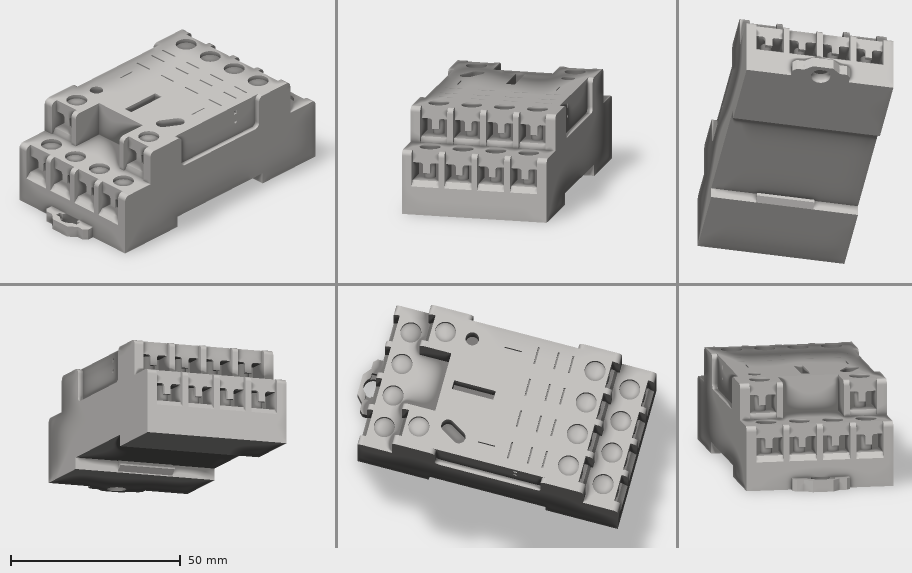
import cadquery as cq
import math

WIDTH = 44.0
LENGTH = 79.5
HEIGHT = 30.0
TIER_RISE = 10.75
TIER_DEPTH = 10.6
TIER_TOP = HEIGHT - TIER_RISE
EDGE_RADIUS = 1.5
HALF_WIDTH = WIDTH / 2

PITCH = 10.0
COLUMNS = [(i - 1.5) * PITCH for i in range(4)]
OUTER_COLUMNS = [COLUMNS[0], COLUMNS[-1]]
ENTRY_WIDTH = 8.2
ENTRY_OVERRUN = 0.85
LEDGE_DROP = 9.1
CAVITY_DROP = 3.8
SCREW_SETBACK = 6.35
CAVITY_DEPTH = 8.9
SCREW_DIAMETER = 3.4
SCREW_HOLE_DIAMETER = 6.2
SCREW_HOLE_DEPTH = 1.3
TONGUE_DROP = 6.9
TONGUE_HALF_WIDTH = 1.0
TONGUE_THICKNESS = 1.0
TONGUE_ROOT_RADIUS = 0.85
LOWER_ENTRY = (1.9, 1.6, 0.0)
UPPER_ENTRY = (2.2, 1.4, 0.6)

NOTCH_HALF_WIDTH = (PITCH + ENTRY_WIDTH) / 2
NOTCH_DEPTH = 20.3
PIN_SLOT_LENGTH = 5.25
PIN_SLOT_WIDTH = 0.5
PIN_SLOT_DEPTH = 1.0
PIN_SLOT_ROWS = [44.75, 50.85, 55.3]
COIL_SLOT_WIDTH = 0.3
COIL_SLOT_Y = 37.6
KEY_SLOT_WIDTH = 2.7
KEY_SLOT_LENGTH = 12.7
KEY_SLOT_Y = 29.6
KEY_DEPTH = 5.1
KEY_HOLE_DIAMETER = 4.0
KEY_HOLE_Y = 25.1
OBLONG_RUN = 2.4
OBLONG_RISE = 4.0

RECESS_DEPTH = 1.6
RECESS_FRONT = 23.6
RECESS_BACK = 55.9
RECESS_FLOOR = 19.8
RECESS_RADIUS = 1.5
MARK_Y = 47.7
MARK_SIZE = 1.1
MARK_DEPTH = 1.0
SQUARE_MARK_Z = 27.7
ROUND_MARK_Z = 24.5

RAIL_DEPTH = 3.5
RAIL_FRONT = 21.8
RAIL_BACK = 57.45
CLIP_HALF_WIDTH = 8.6
CLIP_REACH = 5.1
CLIP_SHOULDER = 3.1
CLIP_CHAMFER = 1.1
CLIP_SHOULDER_HALF_WIDTH = 5.3
CLIP_TIP_HALF_WIDTH = 3.05
CLIP_STOP = 0.5
HOOK_REACH = 1.95
CLIP_HOOK_TOP = 2.4
CLIP_HOOK_TIP = 1.9
CLIP_HOOK_ROOT = 0.3
FIXED_HOOK_TOP = 2.1
FIXED_HOOK_TIP = 1.1
CLIP_HOLE_RADIUS = 2.9
CLIP_HOLE_Y = -1.1
POCKET_HALF_LENGTH = 4.15
POCKET_WIDTH = 1.6
POCKET_Y = -1.8
POCKET_DEPTH = 1.7


def block(x0, x1, y0, y1, z0, z1):
    """Axis-aligned box between two opposite corners."""
    return cq.Workplane("XY").box(x1 - x0, y1 - y0, z1 - z0, centered=False).translate((x0, y0, z0))


def side_profile(points, half_width):
    """Closed (Y, Z) outline extruded symmetrically about X = 0."""
    return cq.Workplane("YZ").polyline(points).close().extrude(half_width, both=True)


def housing_shell():
    """Two-tier block with rounded front and back tier edges."""
    lower = block(-HALF_WIDTH, HALF_WIDTH, 0, LENGTH, 0, TIER_TOP)
    upper = block(-HALF_WIDTH, HALF_WIDTH, TIER_DEPTH, LENGTH - TIER_DEPTH, 0, HEIGHT)
    lower = lower.faces(">Z").edges("|X").fillet(EDGE_RADIUS)
    upper = upper.faces(">Z").edges("|X").fillet(EDGE_RADIUS)
    return lower.union(upper)


def terminal_cutter(top, entry):
    """Void of one terminal whose tier face is Y = 0 and whose column is X = 0."""
    entry_back, crest, foot = entry
    ledge = top - LEDGE_DROP
    roof = top - CAVITY_DROP
    tip = top - TONGUE_DROP
    half = ENTRY_WIDTH / 2

    entry_slot = side_profile(
        [
            (-ENTRY_OVERRUN, top),
            (entry_back, top),
            (entry_back, ledge),
            (crest, ledge),
            (foot, top - TIER_RISE),
            (-ENTRY_OVERRUN, top - TIER_RISE),
        ],
        half,
    )
    cavity = block(-half, half, entry_back, CAVITY_DEPTH, ledge, roof)

    root_half = TONGUE_HALF_WIDTH + TONGUE_ROOT_RADIUS
    root_bottom = roof - TONGUE_ROOT_RADIUS
    arc_offset = TONGUE_ROOT_RADIUS * (1 - math.sqrt(0.5))
    arc_x = TONGUE_HALF_WIDTH + arc_offset
    arc_z = roof - arc_offset
    tongue = (
        cq.Workplane("XZ")
        .moveTo(-root_half, roof)
        .lineTo(root_half, roof)
        .threePointArc((arc_x, arc_z), (TONGUE_HALF_WIDTH, root_bottom))
        .lineTo(TONGUE_HALF_WIDTH, tip)
        .lineTo(-TONGUE_HALF_WIDTH, tip)
        .lineTo(-TONGUE_HALF_WIDTH, root_bottom)
        .threePointArc((-arc_x, arc_z), (-root_half, roof))
        .close()
        .extrude(-TONGUE_THICKNESS)
        .translate((0, entry_back, 0))
    )
    screw = (
        cq.Workplane("XY", origin=(0, SCREW_SETBACK, ledge))
        .circle(SCREW_DIAMETER / 2)
        .extrude(roof - ledge)
    )
    screw_hole = (
        cq.Workplane("XY", origin=(0, SCREW_SETBACK, top))
        .circle(SCREW_HOLE_DIAMETER / 2)
        .extrude(-SCREW_HOLE_DEPTH)
    )
    return entry_slot.union(cavity.cut(tongue).cut(screw)).union(screw_hole)


def cut_terminals(body):
    """Terminals of both tiers; the front upper tier has only the outer columns."""
    lower = terminal_cutter(TIER_TOP, LOWER_ENTRY)
    upper = terminal_cutter(HEIGHT, UPPER_ENTRY).translate((0, TIER_DEPTH, 0))
    for x in COLUMNS:
        for cutter in (lower, upper):
            back = cutter.mirror("XZ").translate((x, LENGTH, 0))
            body = body.cut(back)
        body = body.cut(lower.translate((x, 0, 0)))
    for x in OUTER_COLUMNS:
        body = body.cut(upper.translate((x, 0, 0)))
    return body


def cut_front_notch(body):
    """Central notch in the front of the upper tier, down to the lower tier."""
    return body.cut(block(-NOTCH_HALF_WIDTH, NOTCH_HALF_WIDTH, 0, NOTCH_DEPTH, TIER_TOP, HEIGHT))


def cut_relay_openings(body):
    """Pin slots, coil slots, key slot, round hole and oblong hole in the top face."""
    top = cq.Workplane("XY", origin=(0, 0, HEIGHT))
    pins = top.pushPoints([(x, y) for x in COLUMNS for y in PIN_SLOT_ROWS])
    body = body.cut(pins.rect(PIN_SLOT_LENGTH, PIN_SLOT_WIDTH).extrude(-PIN_SLOT_DEPTH))
    coils = top.pushPoints([(x, COIL_SLOT_Y) for x in OUTER_COLUMNS])
    body = body.cut(coils.rect(COIL_SLOT_WIDTH, PIN_SLOT_LENGTH).extrude(-PIN_SLOT_DEPTH))

    key = top.center(0, KEY_SLOT_Y).rect(KEY_SLOT_WIDTH, KEY_SLOT_LENGTH).extrude(-KEY_DEPTH)
    left_column, right_column = OUTER_COLUMNS
    hole = top.center(left_column, KEY_HOLE_Y).circle(KEY_HOLE_DIAMETER / 2).extrude(-KEY_DEPTH)
    oblong = (
        top.center(right_column - OBLONG_RUN / 2, KEY_HOLE_Y + OBLONG_RISE / 2)
        .slot2D(
            math.hypot(OBLONG_RUN, OBLONG_RISE) + KEY_HOLE_DIAMETER,
            KEY_HOLE_DIAMETER,
            math.degrees(math.atan2(OBLONG_RISE, OBLONG_RUN)),
        )
        .extrude(-KEY_DEPTH)
    )
    return body.cut(key).cut(hole).cut(oblong)


def side_recess_cutter():
    """Recess of the -X side: rounded lower corners, flared upper corners, two small marks."""
    floor_x = RECESS_DEPTH - HALF_WIDTH
    recess = block(-HALF_WIDTH, floor_x, RECESS_FRONT, RECESS_BACK, RECESS_FLOOR, HEIGHT)
    recess = recess.faces("<Z").edges("|X").fillet(RECESS_RADIUS)
    flare_bottom = HEIGHT - RECESS_RADIUS
    for wall_y, outward in ((RECESS_FRONT, -1), (RECESS_BACK, 1)):
        flare_y = wall_y + outward * RECESS_RADIUS
        flare = block(-HALF_WIDTH, floor_x, min(wall_y, flare_y), max(wall_y, flare_y), flare_bottom, HEIGHT)
        rounding = (
            cq.Workplane("YZ", origin=(-HALF_WIDTH, flare_y, flare_bottom))
            .circle(RECESS_RADIUS)
            .extrude(RECESS_DEPTH)
        )
        recess = recess.union(flare.cut(rounding))
    wall = cq.Workplane("YZ", origin=(floor_x, 0, 0))
    square_mark = wall.center(MARK_Y, SQUARE_MARK_Z).rect(MARK_SIZE, MARK_SIZE).extrude(MARK_DEPTH)
    round_mark = wall.center(MARK_Y, ROUND_MARK_Z).circle(MARK_SIZE / 2).extrude(MARK_DEPTH)
    return recess.union(square_mark).union(round_mark)


def cut_side_recesses(body):
    """The same recess on both sides."""
    cutter = side_recess_cutter()
    return body.cut(cutter).cut(cutter.mirror("YZ"))


def cut_rail_seat(body):
    """Rail slot across the underside with a fixed hook, and the channel for the clip."""
    body = body.cut(block(-HALF_WIDTH, HALF_WIDTH, RAIL_FRONT, RAIL_BACK, 0, RAIL_DEPTH))
    body = body.cut(block(-CLIP_HALF_WIDTH, CLIP_HALF_WIDTH, 0, RAIL_FRONT, 0, RAIL_DEPTH))
    hook = side_profile(
        [
            (RAIL_BACK, 0),
            (RAIL_BACK, FIXED_HOOK_TOP),
            (RAIL_BACK - HOOK_REACH, FIXED_HOOK_TOP),
            (RAIL_BACK - HOOK_REACH, FIXED_HOOK_TIP),
        ],
        CLIP_HALF_WIDTH,
    )
    return body.union(hook)


def make_housing():
    body = housing_shell()
    body = cut_front_notch(body)
    body = cut_terminals(body)
    body = cut_relay_openings(body)
    body = cut_side_recesses(body)
    return cut_rail_seat(body)


def make_clip():
    """Sliding clip: pull tab in front of the housing, bar in its channel, hook at the rail."""
    right_edge = [
        (CLIP_HALF_WIDTH, RAIL_FRONT),
        (CLIP_HALF_WIDTH, CLIP_CHAMFER - CLIP_SHOULDER),
        (CLIP_HALF_WIDTH - CLIP_CHAMFER, -CLIP_SHOULDER),
        (CLIP_SHOULDER_HALF_WIDTH, -CLIP_SHOULDER),
        (CLIP_TIP_HALF_WIDTH, -CLIP_REACH),
    ]
    left_edge = [(-x, y) for x, y in reversed(right_edge)]
    clip = cq.Workplane("XY").polyline(right_edge + left_edge).close().extrude(RAIL_DEPTH)
    hook = side_profile(
        [
            (RAIL_FRONT, CLIP_HOOK_ROOT),
            (RAIL_FRONT, RAIL_DEPTH),
            (RAIL_FRONT + CLIP_STOP, RAIL_DEPTH),
            (RAIL_FRONT + CLIP_STOP, CLIP_HOOK_TOP),
            (RAIL_FRONT + HOOK_REACH, CLIP_HOOK_TOP),
            (RAIL_FRONT + HOOK_REACH, CLIP_HOOK_TIP),
        ],
        CLIP_HALF_WIDTH,
    )
    pull_hole = cq.Workplane("XY").center(0, CLIP_HOLE_Y).circle(CLIP_HOLE_RADIUS).extrude(RAIL_DEPTH)
    pockets = (
        cq.Workplane("XY", origin=(0, POCKET_Y, RAIL_DEPTH))
        .rect(2 * POCKET_HALF_LENGTH, POCKET_WIDTH)
        .extrude(-POCKET_DEPTH)
    )
    return clip.union(hook).cut(pull_hole).cut(pockets)


housing = make_housing().solids()
clip = make_clip().solids()
result = cq.Compound.makeCompound([*housing.vals(), *clip.vals()])